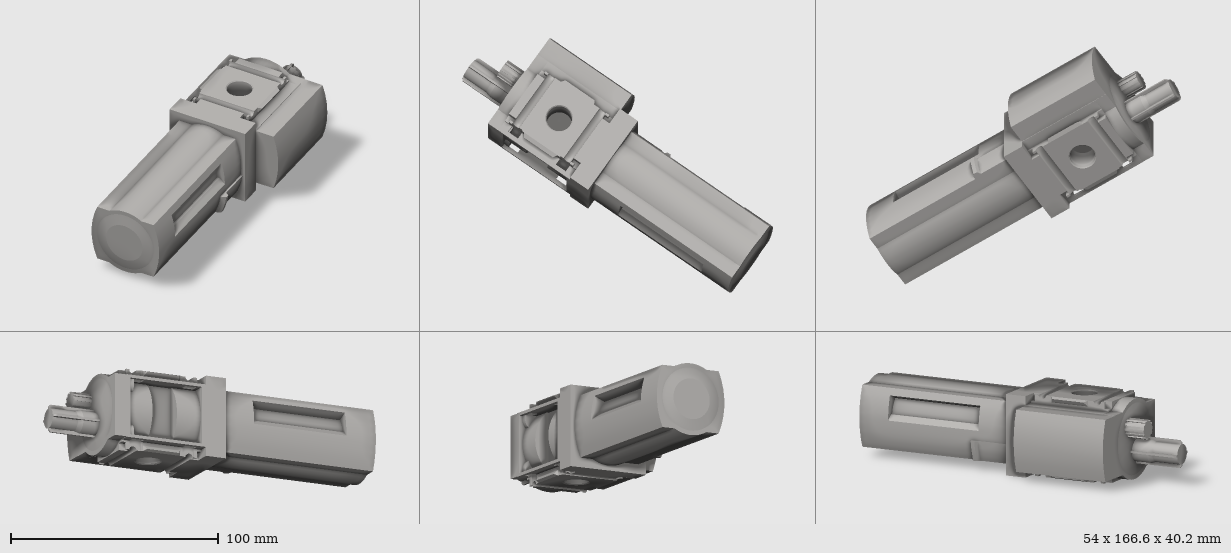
import cadquery as cq
import math


body_width = 41.6
body_height = 40.2
total_length = 166.6
half_width = body_width / 2
half_height = body_height / 2

core_half_length = 21.2
core_half_height = 15.7
collar_end = -31.7
cover_end = 27.3
stem_end = 53.0
bowl_tip = stem_end - total_length

flat_half_height = 15.3

bowl_boss_height = 1.0
bowl_end = bowl_tip + bowl_boss_height
bowl_round_radius = 17.7
bowl_corner_x = 15.5
bowl_side_x = 18.7
bowl_boss_radius = 15.5
bowl_boss_flat_radius = 10.0

window_start = -97.0
window_end = -47.8
window_floor_radius = 14.7

cavity_half_length = 19.0
cavity_half_height = 14.2
insert_radius = 19.0
insert_gap = 13.0
insert_gap_x = -11.7

plate_half_width = 15.3
groove_y = 15.0
groove_width = 4.0
groove_depth = 1.8


def prism(sketch, y_start, y_end):
    """Extrude a closed XZ outline, built by sketch(workplane), from y_start to y_end."""
    plane = cq.Workplane("XZ", origin=(0, y_end, 0))
    return sketch(plane).extrude(y_end - y_start)


def block(x_range, y_range, z_range):
    """Box spanning the given (low, high) ranges."""
    low, high = zip(x_range, y_range, z_range)
    size = [b - a for a, b in zip(low, high)]
    return cq.Workplane("XY").box(*size, centered=False).translate(low)


def rod(radius, y_start, y_end):
    """Round bar on the Y axis."""
    return prism(lambda w: w.circle(radius), y_start, y_end)


def mirrored(solid, plane):
    """The solid together with its mirror image about a main plane."""
    return solid.union(solid.mirror(plane))


def bowl_outline(w):
    """Flat top and bottom with bowed left and right sides."""
    x, z = bowl_corner_x, flat_half_height
    return (
        w.moveTo(-x, z)
        .lineTo(x, z)
        .threePointArc((bowl_side_x, 0), (x, -z))
        .lineTo(-x, -z)
        .threePointArc((-bowl_side_x, 0), (-x, z))
        .close()
    )


def make_bowl():
    shell = prism(bowl_outline, bowl_end, collar_end)
    shell = shell.union(rod(bowl_round_radius, bowl_end, collar_end))
    boss = (
        cq.Workplane("XY")
        .moveTo(0, bowl_end)
        .lineTo(bowl_boss_radius, bowl_end)
        .lineTo(bowl_boss_flat_radius, bowl_tip)
        .lineTo(0, bowl_tip)
        .close()
        .revolve(360, (0, 0, 0), (0, 1, 0))
    )
    inner_x, step_x, outer_x = 10.0, 15.7, 20.0
    step_z, outer_low = 2.3, -1.3
    inner_high, outer_high = 9.0, 13.2
    flare = [
        (inner_x, step_z),
        (step_x, step_z),
        (outer_x, outer_low),
        (outer_x, outer_high),
        (inner_x, inner_high),
    ]
    window = prism(lambda w: w.polyline(flare).close(), window_start, window_end)
    window = window.cut(rod(window_floor_radius, window_start, window_end))
    return shell.union(boss).cut(mirrored(window, "YZ"))


def bowl_wire(y, shift):
    """Bowl outline at position y, moved along X by shift."""
    return bowl_outline(cq.Workplane("XZ", origin=(shift, y, 0))).wires().val()


def make_latch():
    """Thin release strip on the +X side of the bowl, ending in a raised nub."""
    strip_rise = 1.0
    nub_rise = 2.8
    nub_start, nub_end = -51.6, -47.6
    crest_start, crest_end = -50.8, -48.8
    latch_top, latch_bottom = -5.2, -flat_half_height

    strip = prism(bowl_outline, nub_end, collar_end).translate((strip_rise, 0, 0))
    nub = prism(bowl_outline, crest_start, crest_end).translate((nub_rise, 0, 0))
    for foot, crest in ((nub_start, crest_start), (nub_end, crest_end)):
        slope = cq.Solid.makeLoft([bowl_wire(foot, strip_rise), bowl_wire(crest, nub_rise)], True)
        nub = nub.union(cq.Workplane(obj=slope))
    band = block((0, half_width + nub_rise), (nub_start, collar_end), (latch_bottom, latch_top))
    return strip.union(nub).intersect(band)


def make_core():
    """Body between collar and cover, open on -X with a round slotted insert inside."""
    y_range = (-core_half_length, core_half_length)
    core = block((-half_width, half_width), y_range, (-core_half_height, core_half_height))
    cavity = block(
        (-half_width, 0),
        (-cavity_half_length, cavity_half_length),
        (-cavity_half_height, cavity_half_height),
    )
    insert = rod(insert_radius, -cavity_half_length, cavity_half_length)
    gap = block(
        (-half_width, insert_gap_x),
        (-insert_gap / 2, insert_gap / 2),
        (-half_height, half_height),
    )
    return core.cut(cavity.cut(insert.cut(gap)))


def make_lugs():
    """Two rounded lugs at the cover end of the cavity, above and below the insert."""
    lug_face_x = -19.0
    lug_length = 2.7
    lug_tip_z = 7.3
    lug_round = 4.5
    lug = block(
        (lug_face_x, insert_gap_x),
        (cavity_half_length - lug_length, cavity_half_length),
        (lug_tip_z, cavity_half_height),
    )
    lug = lug.edges("<X and <Z").fillet(lug_round)
    return mirrored(lug, "XY")


def make_shelf_openings():
    """Rectangular openings through the shelves into the cavity, at the groove ends."""
    x_range = (-18.7, -14.8)
    y_range = (11.2, 17.0)
    opening = block(x_range, y_range, (cavity_half_height, half_height))
    return mirrored(mirrored(opening, "XZ"), "XY")


def make_collar():
    return block(
        (-half_width, half_width),
        (collar_end, -core_half_length),
        (-half_height, half_height),
    )


def make_cover():
    """End cover: eared plate with a round middle and a shallow dome."""
    round_radius = 19.8
    ear_half_height = 15.5
    dome_radius = 17.7
    dome_height = 1.7
    ears = block(
        (-half_width, half_width),
        (core_half_length, cover_end),
        (-ear_half_height, ear_half_height),
    )
    sphere_radius = (dome_radius**2 + dome_height**2) / (2 * dome_height)
    dome_tip = cover_end + dome_height
    mid_x = dome_radius / 2
    mid_y = dome_tip - sphere_radius + math.sqrt(sphere_radius**2 - mid_x**2)
    dome = (
        cq.Workplane("XY")
        .moveTo(0, cover_end)
        .lineTo(dome_radius, cover_end)
        .threePointArc((mid_x, mid_y), (0, dome_tip))
        .close()
        .revolve(360, (0, 0, 0), (0, 1, 0))
    )
    return ears.union(rod(round_radius, core_half_length, cover_end)).union(dome)


def make_side_cover():
    """Bowed cover block on the +X side."""
    corner_x = 30.5
    crest_x = 33.2
    z = flat_half_height
    return prism(
        lambda w: w.moveTo(half_width, -z)
        .lineTo(corner_x, -z)
        .threePointArc((crest_x, 0), (corner_x, z))
        .lineTo(half_width, z)
        .close(),
        -core_half_length,
        cover_end,
    )


def make_port_plate():
    """Raised plate on the +Z side with two cross grooves, hooked edges and notched corners."""
    plate = block(
        (-plate_half_width, plate_half_width),
        (-core_half_length, core_half_length),
        (core_half_height, half_height),
    )

    rail_reach = 2.0
    rail_edge_z = 19.3
    rail_root_z = 17.2
    rail_half_length = 9.8
    rail_tip_half_length = 8.5
    rail_x = plate_half_width + rail_reach
    hook = [(plate_half_width, half_height), (rail_x, rail_edge_z), (plate_half_width, rail_root_z)]
    rail = prism(lambda w: w.polyline(hook).close(), -rail_half_length, rail_half_length)
    rail_plan = [
        (plate_half_width, -rail_half_length),
        (rail_x, -rail_tip_half_length),
        (rail_x, rail_tip_half_length),
        (plate_half_width, rail_half_length),
    ]
    rail = rail.intersect(cq.Workplane("XY").polyline(rail_plan).close().extrude(half_height))
    plate = plate.union(mirrored(rail, "YZ"))

    groove = (
        cq.Workplane("YZ", origin=(-half_width, 0, 0))
        .moveTo(groove_y - groove_width / 2, half_height)
        .lineTo(groove_y + groove_width / 2, half_height)
        .threePointArc((groove_y, half_height - groove_depth), (groove_y - groove_width / 2, half_height))
        .close()
        .extrude(body_width)
    )

    notch_x = 12.0
    notch_floor = 16.7
    post_x = 14.2
    post_y = 18.8
    groove_edge = groove_y + groove_width / 2
    notch = block(
        (notch_x, plate_half_width),
        (groove_edge, core_half_length),
        (notch_floor, half_height),
    )
    post = block(
        (post_x, plate_half_width),
        (groove_edge, post_y),
        (notch_floor, half_height),
    )
    notch = notch.cut(post)
    cuts = mirrored(groove.union(mirrored(notch, "YZ")), "XZ")
    return plate.cut(cuts)


def make_port():
    """Blind port on the +Z side with a small lead-in chamfer."""
    port_radius = 6.2
    port_depth = 13.3
    lead_in = 0.5
    hole = cq.Workplane("XY", origin=(0, 0, half_height)).circle(port_radius).extrude(-port_depth)
    mouth = (
        cq.Workplane("XY", origin=(0, 0, half_height))
        .circle(port_radius + lead_in)
        .workplane(offset=-lead_in)
        .circle(port_radius)
        .loft()
    )
    return hole.union(mouth)


def make_stem():
    """Finned stem: stepped round core with four thin fins."""
    stem_z = -5.0
    core_radius = 5.0
    root_radius = 11.5 / 2
    step_start, step_end = 37.0, 39.5
    fin_radius = 6.8
    fin_thickness = 1.0
    tip_chamfer = 1.0
    stem_base = core_half_length

    core = (
        cq.Workplane("XY")
        .moveTo(0, stem_base)
        .lineTo(root_radius, stem_base)
        .lineTo(root_radius, step_start)
        .lineTo(core_radius, step_end)
        .lineTo(core_radius, stem_end)
        .lineTo(0, stem_end)
        .close()
        .revolve(360, (0, 0, 0), (0, 1, 0))
    )
    fin = prism(lambda w: w.rect(2 * fin_radius, fin_thickness), stem_base, stem_end)
    fin = fin.edges(">Y and |Z").chamfer(tip_chamfer)
    stem = core.union(fin).union(fin.rotate((0, 0, 0), (0, 1, 0), 90))
    return stem.translate((0, 0, stem_z))


def make_knob():
    """Small knurled knob beside the stem."""
    knob_x, knob_z = 7.0, 7.0
    knob_radius = 4.8
    knob_end = 38.2
    rib_count = 12
    slot_width = 1.3
    slot_depth = 0.7
    knob = rod(knob_radius, core_half_length, knob_end)
    slot = block(
        (knob_radius - slot_depth, knob_radius + slot_depth),
        (cover_end, knob_end),
        (-slot_width / 2, slot_width / 2),
    )
    for i in range(rib_count):
        knob = knob.cut(slot.rotate((0, 0, 0), (0, 1, 0), (i + 0.5) * 360 / rib_count))
    return knob.translate((knob_x, 0, knob_z))


result = make_core().union(make_lugs())
result = result.union(mirrored(make_port_plate(), "XY"))
result = result.cut(make_shelf_openings())
result = result.cut(mirrored(make_port(), "XY"))
for feature in (make_collar, make_cover, make_side_cover, make_bowl, make_latch, make_stem, make_knob):
    result = result.union(feature())